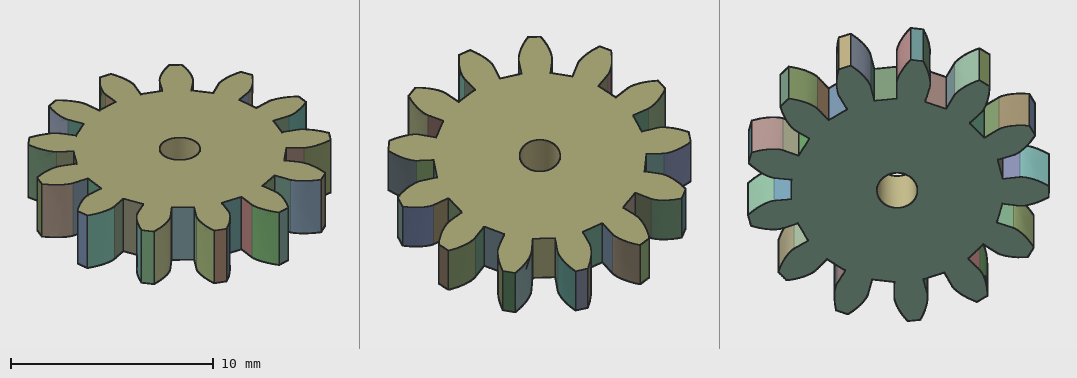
import cadquery as cq
import math

MODULE = 1.0
TOOTH_COUNT = 13
PRESSURE_ANGLE = math.radians(20)
ADDENDUM = 1.0 * MODULE
DEDENDUM = 1.25 * MODULE
THICKNESS = 3.12
BORE_DIAMETER = 2.0

FLANK_SPANS = 6

PITCH_RADIUS = MODULE * TOOTH_COUNT / 2
TIP_RADIUS = PITCH_RADIUS + ADDENDUM
ROOT_RADIUS = PITCH_RADIUS - DEDENDUM
BASE_RADIUS = PITCH_RADIUS * math.cos(PRESSURE_ANGLE)
TOOTH_PITCH_ANGLE = 2 * math.pi / TOOTH_COUNT
TIP_ROLL_ANGLE = math.sqrt((TIP_RADIUS / BASE_RADIUS) ** 2 - 1)

BASE_HALF_ANGLE = TOOTH_PITCH_ANGLE / 4 + math.tan(PRESSURE_ANGLE) - PRESSURE_ANGLE


def polar(radius, angle):
    """Cartesian point at a radius and angle about the gear axis."""
    return (radius * math.cos(angle), radius * math.sin(angle))


def flank_points(center_angle, side):
    """Involute points from base circle to tip, on side -1 or +1 of the tooth centre."""
    points = []
    for step in range(FLANK_SPANS + 1):
        roll_angle = TIP_ROLL_ANGLE * step / FLANK_SPANS
        radius = BASE_RADIUS * math.hypot(1, roll_angle)
        half_angle = BASE_HALF_ANGLE - (roll_angle - math.atan(roll_angle))
        points.append(polar(radius, center_angle + side * half_angle))
    return points


def add_tooth(outline, center_angle):
    """Continue the outline along a straight root land, then around one tooth."""
    rising = flank_points(center_angle, -1)
    falling = list(reversed(flank_points(center_angle, 1)))
    return (
        outline
        .lineTo(*polar(ROOT_RADIUS, center_angle - BASE_HALF_ANGLE))
        .lineTo(*rising[0])
        .spline(rising[1:], includeCurrent=True)
        .lineTo(*falling[0])
        .spline(falling[1:], includeCurrent=True)
        .lineTo(*polar(ROOT_RADIUS, center_angle + BASE_HALF_ANGLE))
    )


def gear_body():
    """Solid toothed disc resting on Z = 0, with one tooth centred on +X."""
    outline = cq.Workplane("XY").moveTo(*polar(ROOT_RADIUS, BASE_HALF_ANGLE - TOOTH_PITCH_ANGLE))
    for tooth in range(TOOTH_COUNT):
        outline = add_tooth(outline, tooth * TOOTH_PITCH_ANGLE)
    return outline.close().extrude(THICKNESS)


def bore():
    """Cylinder removed along the gear axis, through the full thickness."""
    return cq.Workplane("XY").circle(BORE_DIAMETER / 2).extrude(THICKNESS)


result = gear_body().cut(bore())